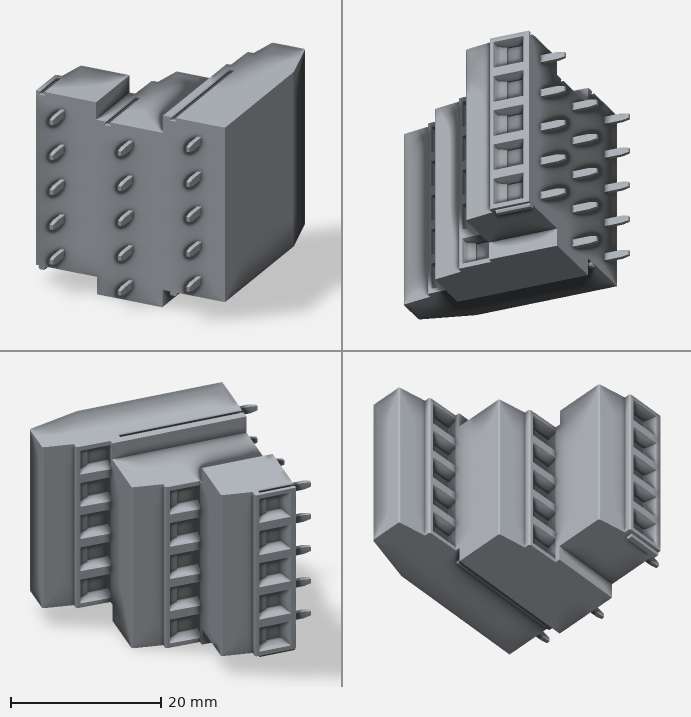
import cadquery as cq


WIDTH = 28.1
HEIGHT = 27.93
TOTAL_DEPTH = 31.7
PIN_LENGTH = 3.52
POLES = 5
TIERS = 3

PITCH = HEIGHT / (POLES + 0.5)
STAGGER = PITCH / 2

BODY_DEPTH = TOTAL_DEPTH - PIN_LENGTH
TIER_STEP_X = 9.75
TIER_STEP_Y = 9.07
LEDGE_Y = 5.83
LEDGE_WIDTH = 0.98
SLOPE_RUN = 0.7
FACE_DRAFT = 0.1
BACK_SLOPE_Y = 20.67
BACK_SLOPE_RUN = 2.0
EDGE_RADIUS = 0.3
FIRST_TOP_Y = BODY_DEPTH - (TIERS - 1) * TIER_STEP_Y

NOTCH_X = (8.95, 18.9)
TONGUE_X = (9.05, 18.77)

POCKET_Y = 0.75
POCKET_WIDTH_Y = 4.45
POCKET_HEIGHT = 3.8
POCKET_DEPTH = 1.6
POCKET_INSET_Z = 0.55
POCKET_LOW_SLOPE = 0.95
CLAMP_Y = 3.0
CLAMP_INNER_DEPTH = 1.25
CLAMP_OUTER_DEPTH = 0.92
POCKET_CORNER_DROP = 0.32
POCKET_LIP = 0.22

FIRST_PIN_X = 4.0
PIN_STEP_X = 2 * PITCH
PIN_X = 0.6
PIN_Z = 1.05
PIN_TIP_X = 0.48
PIN_TIP_Z = 0.65
PIN_TIP_LENGTH = 1.05

DOVETAIL_OFFSET_X = 0.85
DOVETAIL_LENGTHS = (5.05, 9.05, 17.55)
GROOVE_DEPTH = 0.55
GROOVE_MOUTH = 0.8
GROOVE_NECK = 0.55
GROOVE_NECK_DEPTH = 0.13
GROOVE_FLOOR = 1.0
RIB_HEIGHT = 0.55
RIB_WIDTH = 0.95
RIB_NECK = 0.7
RIB_NECK_HEIGHT = 0.13
RIB_FLAT_HEIGHT = 0.15


def is_middle(tier):
    return tier == 1


def tier_bottom(tier):
    return 0 if is_middle(tier) else STAGGER


def pole_heights(tier):
    return [tier_bottom(tier) + (pole + 0.5) * PITCH for pole in range(POLES)]


def box(x_range, y_range, z_range):
    size = [high - low for low, high in (x_range, y_range, z_range)]
    corner = (x_range[0], y_range[0], z_range[0])
    return cq.Workplane("XY").box(*size, centered=False).translate(corner)


def stepped_block():
    outline = [(0, 0)]
    rounded = []
    for tier in range(TIERS):
        face_x = tier * TIER_STEP_X
        lean = FACE_DRAFT if tier > 0 else 0
        ledge_y = LEDGE_Y + tier * TIER_STEP_Y
        top_y = FIRST_TOP_Y + tier * TIER_STEP_Y
        slope_foot_x = face_x + LEDGE_WIDTH
        slope_top_x = slope_foot_x + SLOPE_RUN
        if tier > 0:
            outline.append((face_x, top_y - TIER_STEP_Y))
        ledge_corner = (face_x + lean, ledge_y)
        top_corner = (slope_top_x, top_y)
        outline += [ledge_corner, (slope_foot_x, ledge_y), top_corner]
        rounded += [ledge_corner, top_corner]
    back_corner = (WIDTH - BACK_SLOPE_RUN, BODY_DEPTH)
    outline += [back_corner, (WIDTH, BACK_SLOPE_Y), (WIDTH, 0)]
    rounded.append(back_corner)

    block = cq.Workplane("XY").polyline(outline).close().extrude(HEIGHT)
    for x, y in rounded:
        edge = cq.selectors.NearestToPointSelector((x, y, HEIGHT / 2))
        block = block.edges("|Z").edges(edge).fillet(EDGE_RADIUS)
    return block


def stagger_tiers(block):
    full_depth = (0, BODY_DEPTH)
    block = block.cut(box(NOTCH_X, full_depth, (HEIGHT - STAGGER, HEIGHT)))
    block = block.cut(box((0, TONGUE_X[0]), full_depth, (0, STAGGER)))
    return block.cut(box((TONGUE_X[1], WIDTH), full_depth, (0, STAGGER)))


def wire_pocket(low_slope):
    """Pocket opening on X = 0, low edge on Y = 0, centred on Z = 0."""
    corner_mid_x = (POCKET_LIP + CLAMP_OUTER_DEPTH) / 2
    corner_mid_y = POCKET_WIDTH_Y - POCKET_CORNER_DROP / 4
    section = (
        cq.Workplane("XY")
        .moveTo(0, 0)
        .lineTo(POCKET_DEPTH, low_slope)
        .lineTo(POCKET_DEPTH, CLAMP_Y)
        .lineTo(CLAMP_INNER_DEPTH, CLAMP_Y)
        .lineTo(CLAMP_OUTER_DEPTH, POCKET_WIDTH_Y - POCKET_CORNER_DROP)
        .threePointArc((corner_mid_x, corner_mid_y), (POCKET_LIP, POCKET_WIDTH_Y))
        .lineTo(0, POCKET_WIDTH_Y)
        .close()
        .extrude(POCKET_HEIGHT / 2, both=True)
    )
    mouth = POCKET_HEIGHT / 2
    floor = mouth - POCKET_INSET_Z
    lower_end = [(0, -mouth), (CLAMP_INNER_DEPTH, -floor), (POCKET_DEPTH, -floor)]
    ends = lower_end + [(x, -z) for x, z in reversed(lower_end)]
    taper = (
        cq.Workplane("XZ")
        .polyline(ends)
        .close()
        .extrude(-POCKET_WIDTH_Y)
    )
    return section.intersect(taper)


def solder_pin():
    """Pin on the Y axis, rooted in the board face, with a tapered tip."""
    shank = PIN_LENGTH - PIN_TIP_LENGTH
    pin = cq.Workplane("XZ").rect(PIN_X, PIN_Z).extrude(shank)
    tip = (
        cq.Workplane("XZ", origin=(0, -shank, 0))
        .rect(PIN_X, PIN_Z)
        .workplane(offset=PIN_TIP_LENGTH)
        .rect(PIN_TIP_X, PIN_TIP_Z)
        .loft(ruled=True)
    )
    return pin.union(tip)


def mirrored(right):
    """Close a half section, given from top to bottom, with its mirror image about X = 0."""
    return right + [(-x, z) for x, z in reversed(right)]


def groove(tier):
    x = tier * TIER_STEP_X + DOVETAIL_OFFSET_X
    top = tier_bottom(tier) + POLES * PITCH
    neck = GROOVE_NECK / 2
    floor = GROOVE_FLOOR / 2
    mouth = GROOVE_MOUTH / 2
    right = [(mouth, 0), (neck, -GROOVE_NECK_DEPTH), (floor, -GROOVE_DEPTH)]
    cutter = cq.Workplane("XZ").polyline(mirrored(right)).close().extrude(-DOVETAIL_LENGTHS[tier])
    return cutter.translate((x, 0, top))


def rib(tier):
    x = tier * TIER_STEP_X + DOVETAIL_OFFSET_X
    neck = RIB_NECK / 2
    side = RIB_WIDTH / 2
    flare_z = -RIB_NECK_HEIGHT
    chamfer_z = flare_z - RIB_FLAT_HEIGHT
    right = [(neck, 0), (side, flare_z), (side, chamfer_z), (neck, -RIB_HEIGHT)]
    bar = cq.Workplane("XZ").polyline(mirrored(right)).close().extrude(-DOVETAIL_LENGTHS[tier])
    return bar.translate((x, 0, tier_bottom(tier)))


result = stagger_tiers(stepped_block())
pin = solder_pin()

for tier in range(TIERS):
    pocket = wire_pocket(POCKET_LOW_SLOPE if tier == 0 else 0)
    pocket_x = tier * TIER_STEP_X
    pocket_y = POCKET_Y + tier * TIER_STEP_Y
    pin_x = FIRST_PIN_X + tier * PIN_STEP_X
    for z in pole_heights(tier):
        result = result.cut(pocket.translate((pocket_x, pocket_y, z)))
        result = result.union(pin.translate((pin_x, 0, z)))
    result = result.cut(groove(tier))
    if not is_middle(tier):
        result = result.union(rib(tier))